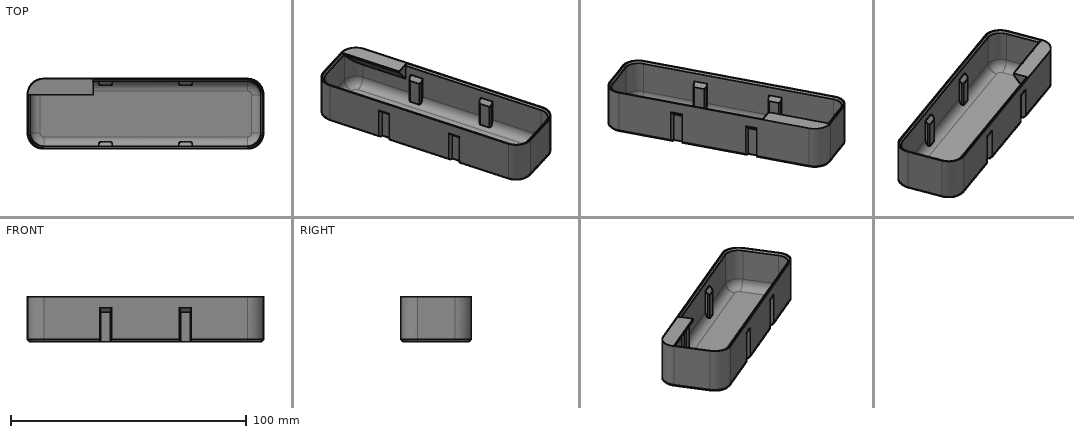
import cadquery as cq

length = 100.5
width = 30.0
height = 19.2
corner_radius = 7.0
wall = 1.2
floor_thickness = 1.0
floor_fillet = 4.0
bottom_chamfer = 1.0

rim_land = 0.4
rim_bevel = wall - rim_land

plate_length = 28.0
plate_depth = corner_radius
plate_thickness = 0.8
wedge_drop = 6.9

groove_width = 5.1
groove_floor_width = 4.0
groove_height = 14.5
groove_depth = 2.0
groove_offset = 17.0
groove_positions = (-groove_offset, groove_offset)

rib_width = 5.8
rib_reach = 3.0
rib_height = groove_height + wall
rib_bevel_width = 0.7
rib_bevel_depth = 0.6


def rounded_block(inset, bottom, top):
    """Rounded-corner block set in from the outer sides of the tray."""
    return (
        cq.Workplane("XY")
        .workplane(offset=bottom)
        .rect(length - 2 * inset, width - 2 * inset)
        .extrude(top - bottom)
        .edges("|Z")
        .fillet(corner_radius - inset)
    )


def make_shell():
    """Open tray with a rounded cavity floor and a beveled rim."""
    body = rounded_block(0, 0, height).faces("<Z").chamfer(bottom_chamfer)
    cavity = rounded_block(wall, floor_thickness, height).faces("<Z").edges().fillet(floor_fillet)
    bevel_bottom = height - rim_bevel
    bevel = rounded_block(rim_land, bevel_bottom, height + wall).faces("<Z").chamfer(rim_bevel)
    return body.cut(cavity).cut(bevel)


def make_plate():
    """Flush plate filling the corner at -X, +Y, on a wedge that slopes back to the +Y wall."""
    back = width / 2
    front = back - plate_depth
    underside = height - plate_thickness
    profile = (
        cq.Workplane("YZ")
        .workplane(offset=-length / 2)
        .polyline(
            [
                (front, height),
                (back, height),
                (back, underside - wedge_drop),
                (back - wall, underside - wedge_drop),
                (front, underside),
            ]
        )
        .close()
        .extrude(plate_length)
    )
    return profile.intersect(rounded_block(0, 0, height))


def top_slope(position, span, depth, top):
    """Wedge that slopes the top down at 45 degrees going in from the -Y outer face."""
    outer = -width / 2
    return (
        cq.Workplane("YZ")
        .workplane(offset=position - span / 2)
        .polyline([(outer, top), (outer + depth, top), (outer + depth, top - depth)])
        .close()
        .extrude(span)
    )


def make_rib(position):
    """Upright rib on the inside of the -Y wall, with beveled corners and a 45 degree sloping top."""
    wall_face = wall - width / 2
    tip = rib_reach - width / 2
    half_width = rib_width / 2
    rib = (
        cq.Workplane("XY")
        .polyline(
            [
                (position - half_width, wall_face),
                (position + half_width, wall_face),
                (position + half_width, tip - rib_bevel_depth),
                (position + half_width - rib_bevel_width, tip),
                (position - half_width + rib_bevel_width, tip),
                (position - half_width, tip - rib_bevel_depth),
            ]
        )
        .close()
        .extrude(rib_height)
    )
    return rib.cut(top_slope(position, rib_width, rib_reach, rib_height))


def make_groove(position):
    """Tapered groove cutter in the -Y face, with a 45 degree sloping roof."""
    outer = -width / 2
    groove = (
        cq.Workplane("XY")
        .polyline(
            [
                (position - groove_width / 2, outer),
                (position + groove_width / 2, outer),
                (position + groove_floor_width / 2, outer + groove_depth),
                (position - groove_floor_width / 2, outer + groove_depth),
            ]
        )
        .close()
        .extrude(groove_height)
    )
    return groove.cut(top_slope(position, groove_width, groove_depth, groove_height))


result = make_shell().union(make_plate())
for position in groove_positions:
    for turn in (0, 180):
        result = result.union(make_rib(position).rotate((0, 0, 0), (0, 0, 1), turn))
        result = result.cut(make_groove(position).rotate((0, 0, 0), (0, 0, 1), turn))